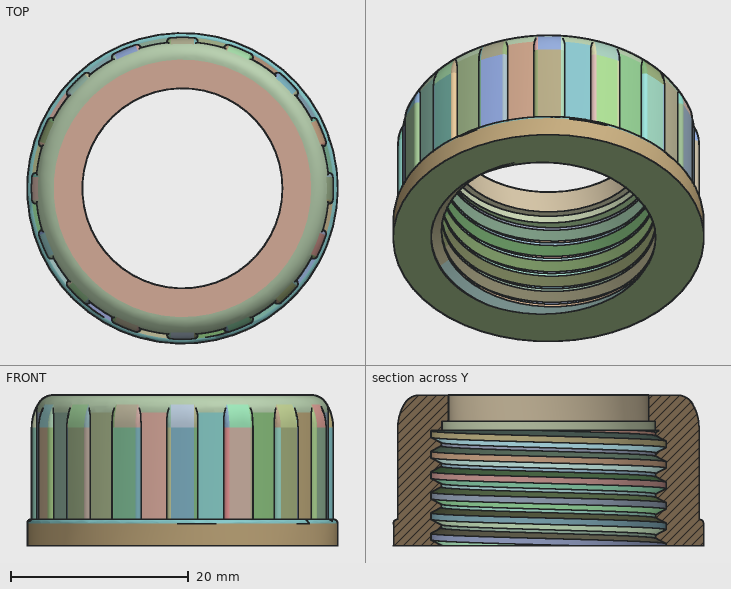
import cadquery as cq
import math

height = 17.0
flange_radius = 35.0 / 2
flange_height = 3.0
flange_round = 0.5
body_radius = 16.5
crown_round = 2.0

rib_count = 16
rib_height = 0.5
rib_radius = body_radius + rib_height
rib_width = 3.5
rib_side_round = 0.5
rib_root_radius = 14.5
rib_shoulder_z = 13.3
rib_top_z = 15.94

bore_radius = 22.5 / 2
relief_radius = 24.0 / 2
minor_radius = 24.12 / 2
major_radius = 26.44 / 2
ledge_z = 14.0
thread_top_z = 13.0
sleeve_radius = 14.0
threads_per_inch = 11
thread_pitch = 25.4 / threads_per_inch
flank_angle = math.radians(55.0 / 2)
crest_width = thread_pitch / 6
groove_phase_z = -0.12
groove_overlap = 0.25


def make_body():
    """Turned outside shape: flange, plain wall and rounded crown."""
    flange = (
        cq.Workplane("XY")
        .circle(flange_radius)
        .extrude(flange_height)
        .faces(">Z")
        .edges()
        .fillet(flange_round)
    )
    wall = (
        cq.Workplane("XY")
        .circle(body_radius)
        .extrude(height)
        .faces(">Z")
        .edges()
        .fillet(crown_round)
    )
    return flange.union(wall)


def make_rib():
    """One grip rib on the +X side, its crown curving in under the body's crown."""
    base_z = flange_height - flange_round
    crown_center_z = height - crown_round
    top_radius = body_radius - crown_round + math.sqrt(
        crown_round**2 - (rib_top_z - crown_center_z) ** 2
    )
    envelope = (
        cq.Workplane("XZ")
        .moveTo(rib_root_radius, base_z)
        .lineTo(rib_radius, base_z)
        .lineTo(rib_radius, rib_shoulder_z)
        .tangentArcPoint((top_radius, rib_top_z), relative=False)
        .lineTo(rib_root_radius, rib_top_z)
        .close()
        .revolve(360, (0, 0, 0), (0, 1, 0))
    )
    slab = cq.Workplane("XY").box(
        2 * rib_radius, rib_width, 2 * height, centered=(False, True, True)
    )
    rib = envelope.intersect(slab)
    side_edges = cq.selectors.BoxSelector(
        (body_radius, -rib_width, flange_height),
        (flange_radius, rib_width, rib_shoulder_z),
    )
    return rib.edges(side_edges).fillet(rib_side_round)


def make_groove_turn():
    """One right-handed turn of the thread groove, as a cutter starting on the +X side."""
    inner_radius = minor_radius - groove_overlap
    flank_slope = math.tan(flank_angle)
    mouth_half = (thread_pitch - crest_width) / 2
    inner_half = mouth_half + groove_overlap * flank_slope
    root_half = mouth_half - (major_radius - minor_radius) * flank_slope
    helix = cq.Wire.makeHelix(thread_pitch, thread_pitch, minor_radius)
    return (
        cq.Workplane("XZ")
        .polyline(
            [
                (inner_radius, -inner_half),
                (major_radius, -root_half),
                (major_radius, root_half),
                (inner_radius, inner_half),
            ]
        )
        .close()
        .sweep(cq.Workplane(obj=helix), isFrenet=True)
    )


def make_threaded_sleeve():
    """Inner layer of the wall with the thread cut into it; its flat top ends the thread."""
    sleeve = (
        cq.Workplane("XY")
        .circle(sleeve_radius)
        .circle(minor_radius)
        .extrude(thread_top_z)
    )
    turn = make_groove_turn()
    first_turn = -1
    last_turn = math.ceil(thread_top_z / thread_pitch)
    for turn_index in range(first_turn, last_turn + 1):
        turn_z = groove_phase_z + turn_index * thread_pitch
        sleeve = sleeve.cut(turn.translate((0, 0, turn_z)))
    return sleeve


def make_ribbed_body():
    """Outside shape with the ribs spaced evenly around it."""
    rib = make_rib().val()
    axis_start = cq.Vector(0, 0, 0)
    axis_end = cq.Vector(0, 0, 1)
    spacing = 360.0 / rib_count
    ribs = [rib.rotate(axis_start, axis_end, i * spacing) for i in range(rib_count)]
    return cq.Workplane(obj=make_body().val().fuse(*ribs))


def make_hollow():
    """Stepped inside: room for the threaded sleeve, short relief and bore through the lip."""
    sleeve_room = cq.Workplane("XY").circle(sleeve_radius).extrude(thread_top_z)
    relief = cq.Workplane("XY").circle(relief_radius).extrude(ledge_z)
    bore = cq.Workplane("XY").circle(bore_radius).extrude(height)
    return sleeve_room.union(relief).union(bore)


shell = make_ribbed_body().cut(make_hollow())
result = shell.union(make_threaded_sleeve())